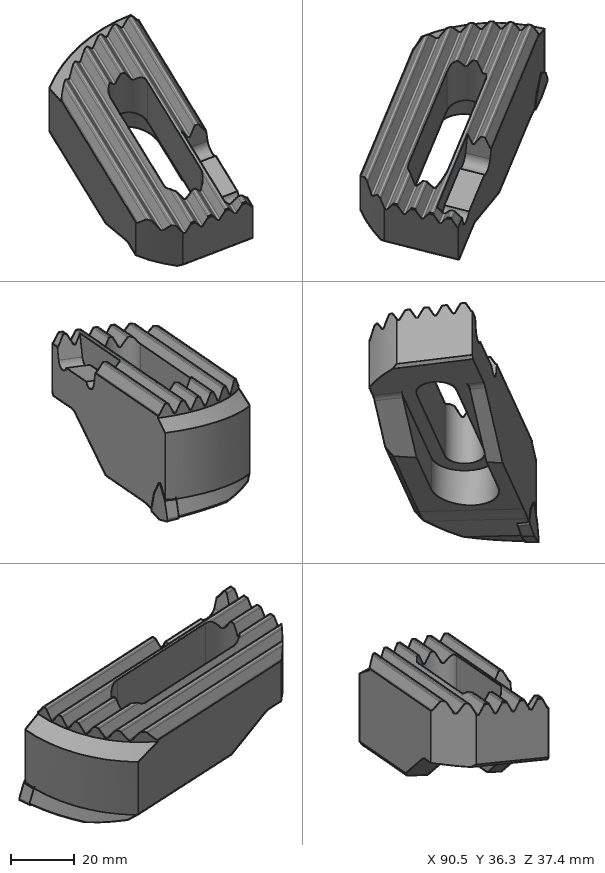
import cadquery as cq
import math


TOOTH_COUNT = 6
TOOTH_PITCH = 6.0
TOOTH_TIP_WIDTH = 1.3
TOOTH_FLANK_ANGLE = 30
TOOTH_RADIUS = 0.45

LENGTH = 90.5
WIDTH = TOOTH_COUNT * TOOTH_PITCH
TOP_Z = 35.1
TAIL_UNDERSIDE_Z = 14.5
TAIL_CHAMFER = 1.0
TAIL_TOP_CHAMFER = 0.4
RAMP_FOOT_X = 48.7
RAMP_ANGLE = 30
RAMP_FILLET = 4.5
CLEAR = 9.05

AXIS_X = 52.7
NOSE_RADIUS = 50.3
NOSE_TOP_RADIUS = 44.7
NOSE_TOP_CONE_Z = 30.8
NOSE_SHOULDER_Z = 27.5
NOSE_LOWER_Z = 5.2
NOSE_FLARE_ANGLE = 20
TAIL_RADIUS = 45.1

UNDERSIDE_TILT = 6
LOWER_BEVEL_TOP_Z = 5.4
JAW_KEEL_Z = -1.9
UNDERSIDE_FILLET = 30.8
NOSE_EDGE_CHAMFER = 0.45

SLOT_LEFT_X = 33.7
SLOT_RIGHT_X = 72.2
SLOT_Y = -15.8
SLOT_RADIUS = 6.4
COUNTERBORE_RADIUS = 10.9

POCKET_DEPTH = 8.1
POCKET_GROOVE_RADIUS = 3.3
POCKET_LEFT_X = 61.0
POCKET_RIGHT_X = 82.2
POCKET_GROOVE_AXIS_Z = 28.3
POCKET_FLOOR_Z = 26.6
POCKET_WALL_ANGLE = 14

INSERT_VERTEX_RADIUS = 5.0
INSERT_TIP_ANGLE = 80
INSERT_BLUNT_ANGLE = 160
INSERT_TIP_ROUNDING = 0.8
INSERT_THICKNESS = 4.2
INSERT_PROUD = 0.3
INSERT_RELIEF_ANGLE = 5
INSERT_BOTTOM_Z = -2.3


def tan_deg(angle):
    return math.tan(math.radians(angle))


def sin_deg(angle):
    return math.sin(math.radians(angle))


def cos_deg(angle):
    return math.cos(math.radians(angle))


TRIGON_TURN = 120
DOWN_ANGLE = 270
LEFT_TIP_ANGLE = DOWN_ANGLE - TRIGON_TURN / 2
INSERT_EDGE_DISTANCE = INSERT_VERTEX_RADIUS * sin_deg(INSERT_BLUNT_ANGLE / 2)
INSERT_TIP_RADIUS = INSERT_EDGE_DISTANCE / sin_deg(INSERT_TIP_ANGLE / 2)
TIP_ROUNDING_CENTRE = INSERT_TIP_RADIUS - INSERT_TIP_ROUNDING / sin_deg(INSERT_TIP_ANGLE / 2)
INSERT_X = INSERT_TIP_ROUNDING - TIP_ROUNDING_CENTRE * cos_deg(LEFT_TIP_ANGLE)
INSERT_Z = INSERT_BOTTOM_Z + INSERT_VERTEX_RADIUS


def side_block():
    """Side outline of the jaw with its ramp and tail, extruded across the width."""
    base_z = -CLEAR
    ramp_slope = tan_deg(RAMP_ANGLE)
    ramp_top_x = RAMP_FOOT_X + TAIL_UNDERSIDE_Z / ramp_slope
    ramp_base_x = RAMP_FOOT_X + base_z / ramp_slope
    block = (
        cq.Workplane("XZ")
        .moveTo(-CLEAR, base_z)
        .lineTo(ramp_base_x, base_z)
        .lineTo(ramp_top_x, TAIL_UNDERSIDE_Z)
        .lineTo(LENGTH - TAIL_CHAMFER, TAIL_UNDERSIDE_Z)
        .lineTo(LENGTH, TAIL_UNDERSIDE_Z + TAIL_CHAMFER)
        .lineTo(LENGTH, TOP_Z - TAIL_TOP_CHAMFER)
        .lineTo(LENGTH - TAIL_TOP_CHAMFER, TOP_Z)
        .lineTo(-CLEAR, TOP_Z)
        .close()
        .extrude(WIDTH)
    )
    ramp_edge = cq.selectors.NearestToPointSelector((ramp_top_x, -WIDTH / 2, TAIL_UNDERSIDE_Z))
    return block.edges(ramp_edge).fillet(RAMP_FILLET)


def turned_envelope():
    """Quarter turn of the nose outline joined to a quarter cylinder for the tail."""
    base_z = -CLEAR
    flare_radius = NOSE_RADIUS + (NOSE_LOWER_Z - base_z) * tan_deg(NOSE_FLARE_ANGLE)
    nose = (
        cq.Workplane("XZ", origin=(AXIS_X, 0, 0))
        .moveTo(0, base_z)
        .lineTo(-flare_radius, base_z)
        .lineTo(-NOSE_RADIUS, NOSE_LOWER_Z)
        .lineTo(-NOSE_RADIUS, NOSE_SHOULDER_Z)
        .lineTo(-NOSE_TOP_RADIUS, NOSE_TOP_CONE_Z)
        .lineTo(-NOSE_TOP_RADIUS, TOP_Z)
        .lineTo(0, TOP_Z)
        .close()
        .revolve(90, (0, 0, 0), (0, 1, 0))
    )
    tail = (
        cq.Workplane("XY", origin=(AXIS_X, 0, base_z))
        .lineTo(0, -TAIL_RADIUS)
        .radiusArc((TAIL_RADIUS, 0), -TAIL_RADIUS)
        .close()
        .extrude(TOP_Z - base_z)
    )
    return nose.union(tail)


def underside_cutter():
    """Space below the keeled underside, extruded along a line that rises toward -Y."""
    keel_slope = tan_deg((180 - INSERT_BLUNT_ANGLE) / 2)
    flat_start_x = INSERT_X - JAW_KEEL_Z / keel_slope
    left_x = -CLEAR
    left_z = JAW_KEEL_Z + (INSERT_X - left_x) * keel_slope
    base_z = -2 * CLEAR
    tilt = tan_deg(UNDERSIDE_TILT)
    depth = WIDTH + CLEAR
    outline = (
        cq.Workplane("XZ")
        .moveTo(left_x, base_z)
        .lineTo(left_x, left_z)
        .lineTo(INSERT_X, JAW_KEEL_Z)
        .lineTo(flat_start_x, 0)
        .lineTo(LENGTH, 0)
        .lineTo(LENGTH, base_z)
        .close()
    )
    prism = cq.Solid.extrudeLinear(outline.val(), [], cq.Vector(0, -depth, depth * tilt))
    blend_edge = cq.selectors.NearestToPointSelector((flat_start_x, -depth / 2, depth * tilt / 2))
    return cq.Workplane(prism).edges(blend_edge).fillet(UNDERSIDE_FILLET)


def lower_edge_cutter():
    """45 degree wedge that bevels the lower edge of the -Y side."""
    reach = 2 * CLEAR
    return (
        cq.Workplane("YZ", origin=(-CLEAR, 0, 0))
        .moveTo(-WIDTH, LOWER_BEVEL_TOP_Z)
        .lineTo(-WIDTH, LOWER_BEVEL_TOP_Z - reach)
        .lineTo(-WIDTH + reach, LOWER_BEVEL_TOP_Z - reach)
        .close()
        .extrude(LENGTH)
    )


def tooth_gap_cutter():
    """One rounded V gap between teeth, centred on Y = 0 and running along X."""
    half_gap = (TOOTH_PITCH - TOOTH_TIP_WIDTH) / 2
    root_z = TOP_Z - half_gap / tan_deg(TOOTH_FLANK_ANGLE)
    gap_length = LENGTH + 2 * CLEAR
    tip_angle = 90 - TOOTH_FLANK_ANGLE
    tip_y = half_gap + TOOTH_RADIUS * tan_deg(tip_angle / 2)
    flank_y = tip_y - TOOTH_RADIUS * sin_deg(tip_angle)
    flank_z = TOP_Z - TOOTH_RADIUS * (1 - cos_deg(tip_angle))
    root_flank_y = TOOTH_RADIUS * cos_deg(TOOTH_FLANK_ANGLE)
    root_centre_z = root_z + TOOTH_RADIUS / sin_deg(TOOTH_FLANK_ANGLE)
    root_flank_z = root_centre_z - TOOTH_RADIUS * sin_deg(TOOTH_FLANK_ANGLE)
    return (
        cq.Workplane("YZ", origin=(-CLEAR, 0, 0))
        .moveTo(-tip_y, TOP_Z)
        .radiusArc((-flank_y, flank_z), TOOTH_RADIUS)
        .lineTo(-root_flank_y, root_flank_z)
        .threePointArc((0, root_centre_z - TOOTH_RADIUS), (root_flank_y, root_flank_z))
        .lineTo(flank_y, flank_z)
        .radiusArc((tip_y, TOP_Z), TOOTH_RADIUS)
        .close()
        .extrude(gap_length)
    )


def slot_cutter(radius, bottom_z, top_z):
    """Upright slot with round ends along the bolt line."""
    centre_distance = SLOT_RIGHT_X - SLOT_LEFT_X
    return (
        cq.Workplane("XY", origin=((SLOT_LEFT_X + SLOT_RIGHT_X) / 2, SLOT_Y, bottom_z))
        .slot2D(centre_distance + 2 * radius, 2 * radius)
        .extrude(top_z - bottom_z)
    )


def pocket_cutter():
    """Flared pocket with a raised floor between two round grooves."""
    tangent_x = POCKET_GROOVE_RADIUS * cos_deg(POCKET_WALL_ANGLE)
    tangent_z = POCKET_GROOVE_AXIS_Z - POCKET_GROOVE_RADIUS * sin_deg(POCKET_WALL_ANGLE)
    flare = (TOP_Z - tangent_z) * tan_deg(POCKET_WALL_ANGLE)
    groove_z = POCKET_GROOVE_AXIS_Z - POCKET_GROOVE_RADIUS
    floor_drop = POCKET_GROOVE_AXIS_Z - POCKET_FLOOR_Z
    floor_edge = math.sqrt(POCKET_GROOVE_RADIUS**2 - floor_drop**2)
    return (
        cq.Workplane("XZ")
        .moveTo(POCKET_LEFT_X - tangent_x - flare, TOP_Z)
        .lineTo(POCKET_LEFT_X - tangent_x, tangent_z)
        .threePointArc(
            (POCKET_LEFT_X, groove_z),
            (POCKET_LEFT_X + floor_edge, POCKET_FLOOR_Z),
        )
        .lineTo(POCKET_RIGHT_X - floor_edge, POCKET_FLOOR_Z)
        .threePointArc(
            (POCKET_RIGHT_X, groove_z),
            (POCKET_RIGHT_X + tangent_x, tangent_z),
        )
        .lineTo(POCKET_RIGHT_X + tangent_x + flare, TOP_Z)
        .close()
        .extrude(POCKET_DEPTH)
    )


def make_insert():
    """Trigon cutting insert: three sharp tips, three blunt corners, relieved sides."""
    corners = []
    for turn in range(3):
        blunt = DOWN_ANGLE + turn * TRIGON_TURN
        tip = blunt + TRIGON_TURN / 2
        for radius, angle in ((INSERT_VERTEX_RADIUS, blunt), (INSERT_TIP_RADIUS, tip)):
            corners.append((radius * cos_deg(angle), radius * sin_deg(angle)))
    plate = (
        cq.Workplane("XZ", origin=(INSERT_X, INSERT_PROUD, INSERT_Z))
        .polyline(corners)
        .close()
        .extrude(INSERT_THICKNESS, taper=INSERT_RELIEF_ANGLE)
    )
    for turn in range(3):
        angle = LEFT_TIP_ANGLE + turn * TRIGON_TURN
        tip_point = (
            INSERT_X + INSERT_TIP_RADIUS * cos_deg(angle),
            INSERT_PROUD - INSERT_THICKNESS / 2,
            INSERT_Z + INSERT_TIP_RADIUS * sin_deg(angle),
        )
        plate = plate.edges(cq.selectors.NearestToPointSelector(tip_point)).fillet(INSERT_TIP_ROUNDING)
    return plate.solids()


def bevel_nose_edge(body):
    """Narrow bevel where the flared nose meets the underside."""
    flare = min(body.faces("%CONE").vals(), key=lambda face: face.Center().z)
    lower_edges = [edge for edge in flare.Edges() if edge.geomType() in ("ELLIPSE", "BSPLINE")]
    return body.newObject(lower_edges).chamfer(NOSE_EDGE_CHAMFER)


def make_jaw(insert):
    """Serrated jaw body with its slot, pocket and insert seat."""
    body = side_block().intersect(turned_envelope())
    body = body.cut(underside_cutter())
    body = bevel_nose_edge(body)
    body = body.cut(lower_edge_cutter())
    for root in range(TOOTH_COUNT + 1):
        body = body.cut(tooth_gap_cutter().translate((0, -root * TOOTH_PITCH, 0)))
    body = body.cut(slot_cutter(SLOT_RADIUS, -CLEAR, TOP_Z))
    body = body.cut(slot_cutter(COUNTERBORE_RADIUS, -CLEAR, TAIL_UNDERSIDE_Z))
    body = body.cut(pocket_cutter())
    return body.cut(insert).solids()


insert = make_insert()
jaw = make_jaw(insert)
result = cq.Compound.makeCompound([jaw.val(), insert.val()])